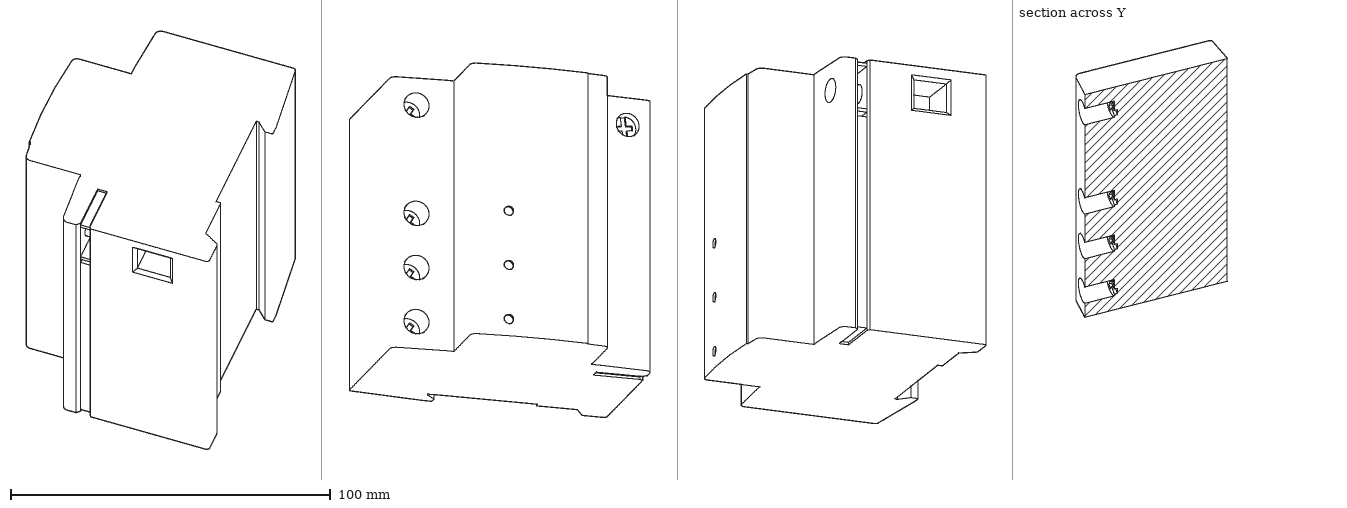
import cadquery as cq
import math


LENGTH = 89.0
DEPTH_X = 70.8
HALF_Y = 42.5
OVERLAP = 1.0

COVER_RADIUS = 182.0
COVER_HALF_Y = 22.5
COVER_LIP_Y = -15.3
COVER_LIP_STEP = 0.5
FRONT_FILLET = 2.0

SHOULDER_X = 20.54
SHOULDER_BEND_Y = 25.2
SHOULDER_SLOPE = 0.0714

RAIL_X = 64.1
RAIL_TOP_Y = 17.7
HOOK_ROOT_X = 65.0
HOOK_TIP_Y = 14.5
HOOK_SIDE_Y = 17.6
BACK_SLOPE = 0.111
RAIL_BOTTOM_Y = -18.0
FOOT_X = 65.7
FOOT_Y = -31.5
FOOT_SLOPE = 0.615
BACK_FILLET = 1.0
HOOK_FILLET = 0.4

GROOVE_LEFT_X = 27.6
GROOVE_RIGHT_X = 30.7
GROOVE_LEFT_FLARE = 1.1
GROOVE_RIGHT_FLARE = 0.6
GROOVE_FLOOR_Y = -41.4

SLOT_END_Y = -26.2
SLOT_BOTTOM_Z = 70.45
CLAMP_BOTTOM_Z = 72.0
CLAMP_TOP_Z = 88.2
CLAMP_THICKNESS = 1.1
END_RECESS = LENGTH - CLAMP_TOP_Z

MODULE_COUNT = 5
MODULE = LENGTH / MODULE_COUNT
SCREW_Y = 34.5
SCREW_ROWS = (0.5, 1.5, 2.5, 4.5)
TOP_SCREW_Z = SCREW_ROWS[-1] * MODULE
WIDE_HOLE_DIAMETER = 8.0
WIDE_HEAD_X = 31.0
WIDE_HEAD_TURN = 58.0
CLAMP_HOLE_DIAMETER = 7.6
CLAMP_HEAD_X = 25.0
CLAMP_HEAD_TURN = 7.5
CLAMP_SHANK_DIAMETER = 6.0
RECESS_WIDTH = 1.6
RECESS_SHORT_ARM = 5.4
RECESS_DEPTH = 1.0

WINDOW_X = 52.05
WINDOW_Z = 80.0
WINDOW_WIDTH = 11.0
WINDOW_HEIGHT = 9.4
WINDOW_DEPTH = 15.0
WINDOW_CHAMFER = 1.15
CHAMFER_ANGLE = 45

INDICATOR_DIAMETER = 3.0
INDICATOR_DEPTH = 0.8
INDICATOR_Y = 10.6
INDICATOR_BOTTOM_Z = 5.5
INDICATOR_COUNT = 3


def cover_x(y):
    """X of the bulging front cover at a given Y."""
    return COVER_RADIUS - math.sqrt(COVER_RADIUS**2 - y**2)


def box(x_range, y_range, z_range):
    """Axis-aligned box from three (low, high) ranges."""
    sizes = [high - low for low, high in (x_range, y_range, z_range)]
    corner = (x_range[0], y_range[0], z_range[0])
    return cq.Workplane("XY").box(*sizes, centered=False).translate(corner)


def rod_along_x(diameter, x_start, x_end, y, z):
    """Cylinder along X between two X positions."""
    plane = cq.Workplane("YZ", origin=(x_start, y, z))
    return plane.circle(diameter / 2).extrude(x_end - x_start)


def make_body():
    shoulder_end_x = SHOULDER_X + (HALF_Y - SHOULDER_BEND_Y) * SHOULDER_SLOPE
    back_top_x = DEPTH_X - (HALF_Y - HOOK_SIDE_Y) * BACK_SLOPE
    hook_tip_x = HOOK_ROOT_X + RAIL_TOP_Y - HOOK_TIP_Y
    foot_end_y = FOOT_Y - (DEPTH_X - FOOT_X) * FOOT_SLOPE
    cover_top = (cover_x(COVER_HALF_Y), COVER_HALF_Y)
    cover_bottom = (cover_x(COVER_HALF_Y) + COVER_LIP_STEP, -COVER_HALF_Y)

    body = (
        cq.Workplane("XY")
        .moveTo(*cover_top)
        .threePointArc((0, 0), (cover_x(COVER_LIP_Y), COVER_LIP_Y))
        .lineTo(cover_x(COVER_LIP_Y) + COVER_LIP_STEP, COVER_LIP_Y)
        .lineTo(*cover_bottom)
        .lineTo(SHOULDER_X, -COVER_HALF_Y)
        .lineTo(SHOULDER_X, -SHOULDER_BEND_Y)
        .lineTo(shoulder_end_x, -HALF_Y)
        .lineTo(DEPTH_X, -HALF_Y)
        .lineTo(DEPTH_X, foot_end_y)
        .lineTo(FOOT_X, FOOT_Y)
        .lineTo(FOOT_X, RAIL_BOTTOM_Y)
        .lineTo(RAIL_X, RAIL_BOTTOM_Y)
        .lineTo(RAIL_X, RAIL_TOP_Y)
        .lineTo(HOOK_ROOT_X, RAIL_TOP_Y)
        .lineTo(hook_tip_x, HOOK_TIP_Y)
        .lineTo(DEPTH_X, HOOK_TIP_Y)
        .lineTo(DEPTH_X, HOOK_SIDE_Y)
        .lineTo(back_top_x, HALF_Y)
        .lineTo(shoulder_end_x, HALF_Y)
        .lineTo(SHOULDER_X, SHOULDER_BEND_Y)
        .lineTo(SHOULDER_X, COVER_HALF_Y)
        .close()
        .extrude(LENGTH)
    )

    rounded_corners = (
        (FRONT_FILLET, cover_top),
        (FRONT_FILLET, cover_bottom),
        (FRONT_FILLET, (shoulder_end_x, HALF_Y)),
        (FRONT_FILLET, (shoulder_end_x, -HALF_Y)),
        (BACK_FILLET, (back_top_x, HALF_Y)),
        (BACK_FILLET, (DEPTH_X, -HALF_Y)),
        (BACK_FILLET, (DEPTH_X, foot_end_y)),
        (HOOK_FILLET, (DEPTH_X, HOOK_TIP_Y)),
        (HOOK_FILLET, (FOOT_X, RAIL_BOTTOM_Y)),
    )
    for radius, (x, y) in rounded_corners:
        corner_edge = cq.selectors.NearestToPointSelector((x, y, LENGTH / 2))
        body = body.edges(corner_edge).fillet(radius)
    return body


def make_groove():
    profile = [
        (GROOVE_LEFT_X - GROOVE_LEFT_FLARE, -HALF_Y),
        (GROOVE_LEFT_X, GROOVE_FLOOR_Y),
        (GROOVE_RIGHT_X, GROOVE_FLOOR_Y),
        (GROOVE_RIGHT_X + GROOVE_RIGHT_FLARE, -HALF_Y),
    ]
    return cq.Workplane("XY").polyline(profile).close().extrude(LENGTH)


def make_slot(z_low, z_high):
    """Pocket as wide as the groove, running from its floor into the body."""
    return box((GROOVE_LEFT_X, GROOVE_RIGHT_X), (GROOVE_FLOOR_Y, SLOT_END_Y), (z_low, z_high))


def make_clamp():
    """U-shaped clamp, open toward -Y, and the screw shank inside it."""
    clamp = make_slot(CLAMP_BOTTOM_Z, CLAMP_TOP_Z)
    opening = box(
        (GROOVE_LEFT_X, GROOVE_RIGHT_X),
        (GROOVE_FLOOR_Y, SLOT_END_Y - CLAMP_THICKNESS),
        (CLAMP_BOTTOM_Z + CLAMP_THICKNESS, CLAMP_TOP_Z - CLAMP_THICKNESS),
    )
    shank = rod_along_x(
        CLAMP_SHANK_DIAMETER, GROOVE_LEFT_X, GROOVE_RIGHT_X, -SCREW_Y, TOP_SCREW_Z
    )
    return clamp.cut(opening).union(shank)


def make_screw_hole(diameter, head_x, turn, y, z):
    """Access hole down to a screw head, with the driver recess in that head."""
    hole = rod_along_x(diameter, SHOULDER_X - OVERLAP, head_x, y, z)
    recess_end_x = head_x + RECESS_DEPTH
    head = rod_along_x(diameter, head_x, recess_end_x, y, z)
    recess = (
        cq.Workplane("YZ", origin=(head_x, y, z))
        .rect(RECESS_WIDTH, diameter + OVERLAP)
        .extrude(RECESS_DEPTH)
    )
    short_arm = (
        cq.Workplane("YZ", origin=(head_x, y, z))
        .rect(RECESS_SHORT_ARM, RECESS_WIDTH)
        .extrude(RECESS_DEPTH)
    )
    recess = recess.union(short_arm).rotate((head_x, y, z), (recess_end_x, y, z), -turn)
    return hole.union(recess.intersect(head))


def make_window():
    outer = (WINDOW_WIDTH + 2 * WINDOW_CHAMFER, WINDOW_HEIGHT + 2 * WINDOW_CHAMFER)
    plane = cq.Workplane("XZ", origin=(WINDOW_X, -HALF_Y, WINDOW_Z))
    shaft = plane.rect(WINDOW_WIDTH, WINDOW_HEIGHT).extrude(-WINDOW_DEPTH)
    mouth = plane.rect(*outer).extrude(-WINDOW_CHAMFER, taper=CHAMFER_ANGLE)
    return shaft.union(mouth)


def make_indicator(index):
    z = INDICATOR_BOTTOM_Z + index * MODULE
    floor_x = cover_x(INDICATOR_Y) + INDICATOR_DEPTH
    return rod_along_x(INDICATOR_DIAMETER, -OVERLAP, floor_x, INDICATOR_Y, z)


result = make_body().cut(make_groove())
result = result.cut(make_slot(SLOT_BOTTOM_Z, LENGTH)).union(make_clamp())
result = result.cut(make_slot(0, END_RECESS))
result = result.cut(
    make_screw_hole(CLAMP_HOLE_DIAMETER, CLAMP_HEAD_X, CLAMP_HEAD_TURN, -SCREW_Y, TOP_SCREW_Z)
)
for row in SCREW_ROWS:
    result = result.cut(
        make_screw_hole(WIDE_HOLE_DIAMETER, WIDE_HEAD_X, WIDE_HEAD_TURN, SCREW_Y, row * MODULE)
    )
result = result.cut(make_window())
for index in range(INDICATOR_COUNT):
    result = result.cut(make_indicator(index))